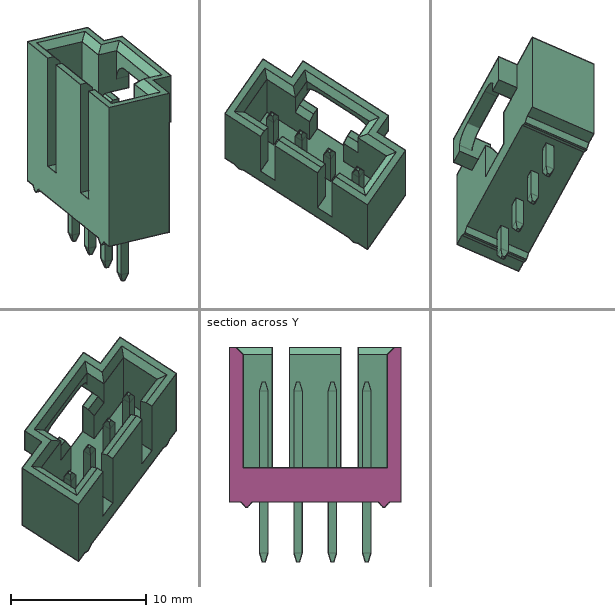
import cadquery as cq

pitch = 2.54
pin_count = 4
body_width = 12.7
body_depth = 5.08
total_height = 15.88
body_height = 11.43
floor_height = 2.54

boss_width = 7.62
total_depth = 6.6
boss_height = 3.8

wall = 1.03
bevel_width = 0.52
bevel_depth = 0.51

slot_width = 1.27
slot_spacing = 2 * pitch
relief_width = 3.02

window_top_depth = 1.51
window_top = body_height - window_top_depth
window_radius = 1.32

pin_size = 0.64
pin_tip_size = 0.22
pin_tip_length = 0.67
pin_bottom = body_height - total_height
pin_protrusion = 6.35
pin_top = floor_height + pin_protrusion

ridge_spacing = pin_count * pitch
ridge_width = 0.85
ridge_tip_width = 0.13
ridge_height = 0.4

boss_bottom = body_height - boss_height
cavity_back = body_depth - wall
boss_inner_width = boss_width - 2 * wall
boss_inner_back = total_depth - wall


def block(width, y_start, y_end, z_start, z_end, x_center=0):
    """Box centred on x_center between the given y and z limits."""
    return cq.Workplane("XY").box(
        width, y_end - y_start, z_end - z_start, centered=(True, False, False)
    ).translate((x_center, y_start, z_start))


def frustum(x_center, y_center, z_base, base_size, z_end, end_size):
    """Rectangular frustum between two heights; each size is (x length, y length)."""
    return (
        cq.Workplane("XY", origin=(x_center, y_center, z_base))
        .rect(*base_size)
        .workplane(offset=z_end - z_base)
        .rect(*end_size)
        .loft(ruled=True)
    )


def beveled_pocket(width, y_start, y_end, z_floor):
    """Rectangular pocket open at the top, with its mouth widened by the bevel."""
    depth = y_end - y_start
    mouth = frustum(
        0,
        (y_start + y_end) / 2,
        body_height - bevel_depth,
        (width, depth),
        body_height,
        (width + 2 * bevel_width, depth + 2 * bevel_width),
    )
    return block(width, y_start, y_end, z_floor, body_height).union(mouth)


def housing():
    """Outer block with the keying boss on its back."""
    body = block(body_width, 0, body_depth, 0, body_height)
    boss = block(boss_width, cavity_back, total_depth, boss_bottom, body_height)
    return body.union(boss)


def cavities():
    """Mating cavity and the boss cavity, which opens through the boss underside."""
    main = beveled_pocket(body_width - 2 * wall, wall, cavity_back, floor_height)
    boss = beveled_pocket(boss_inner_width, wall, boss_inner_back, boss_bottom)
    return main.union(boss)


def ledge_bevel():
    """Bevel on the cavity-side edge of the back wall, below the boss."""
    profile = [
        (cavity_back, boss_bottom),
        (cavity_back, boss_bottom - bevel_width),
        (cavity_back + bevel_width, boss_bottom),
    ]
    return cq.Workplane("YZ").polyline(profile).close().extrude(boss_inner_width / 2, both=True)


def boss_window():
    """Opening through the boss back wall with rounded upper corners."""
    opening = block(boss_inner_width, cavity_back, total_depth, boss_bottom, window_top)
    return opening.edges("|Y and >Z").fillet(window_radius)


def pin(x):
    """Square pin through the floor, tapered at both ends."""
    y = body_depth / 2
    full = (pin_size, pin_size)
    tip = (pin_tip_size, pin_tip_size)
    shank_bottom = pin_bottom + pin_tip_length
    shank_top = pin_top - pin_tip_length
    shank = block(pin_size, y - pin_size / 2, y + pin_size / 2, shank_bottom, shank_top, x)
    lower_tip = frustum(x, y, pin_bottom, tip, shank_bottom, full)
    upper_tip = frustum(x, y, shank_top, full, pin_top, tip)
    return shank.union(lower_tip).union(upper_tip)


def ridge(x):
    """Tapered ridge under the housing, running over its full depth."""
    profile = [
        (x - ridge_width / 2, 0),
        (x + ridge_width / 2, 0),
        (x + ridge_tip_width / 2, -ridge_height),
        (x - ridge_tip_width / 2, -ridge_height),
    ]
    return cq.Workplane("XZ").polyline(profile).close().extrude(-body_depth)


result = housing().cut(cavities()).cut(ledge_bevel()).cut(boss_window())
result = result.cut(block(relief_width, cavity_back, body_depth, floor_height, boss_bottom))

for side in (-1, 1):
    slot_x = side * slot_spacing / 2
    result = result.cut(block(slot_width, 0, wall, floor_height, body_height, slot_x))
    result = result.union(ridge(side * ridge_spacing / 2))

for index in range(pin_count):
    result = result.union(pin((index - (pin_count - 1) / 2) * pitch))